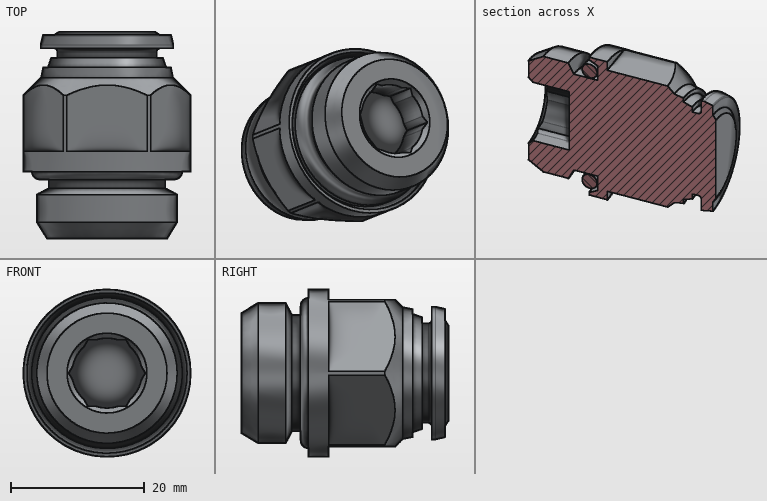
import cadquery as cq

TOTAL_LENGTH = 30.9
THREAD_CHAMFER_END = 2.47
THREAD_END = 6.58
RELIEF_START = 7.5
FLANGE_START = 9.98
FLANGE_END = 13.0
SHOULDER_END = 24.05
HOUSING_STEP = 25.55
INSERT_END = 26.98
COLLAR_START = 28.4
COLLAR_TAPER_START = 28.95
COLLAR_TAPER_END = 30.4

THREAD_TIP_RADIUS = 8.95
THREAD_RADIUS = 10.48
RELIEF_RADIUS = 8.7
FLANGE_RADIUS = 12.5
SHOULDER_RADIUS = 9.85
HOUSING_STEP_RADIUS = 9.55
INSERT_BASE_RADIUS = 8.85
INSERT_TIP_RADIUS = 8.35
COLLAR_NECK_RADIUS = 7.45
COLLAR_NECK_FILLET = 0.5
COLLAR_RADIUS = 9.92
COLLAR_TAPER_RADIUS = 9.58
COLLAR_DOME_RADIUS = 7.88
COLLAR_END_RADIUS = 7.1
COLLAR_EDGE_FILLET = 0.2

SHOULDER_START = SHOULDER_END - (FLANGE_RADIUS - SHOULDER_RADIUS)

HEXAGON_TURN = 30

WRENCH_FLATS = 21.95

SOCKET_FLATS = 9.9
SOCKET_BORE_RADIUS = 5.22
SOCKET_MOUTH_RADIUS = 5.95
SOCKET_CONE_DEPTH = 0.75
SOCKET_DEPTH = 6.65

SEAL_SECTION_RADIUS = 1.27
SEAL_CENTER_RADIUS = RELIEF_RADIUS + SEAL_SECTION_RADIUS
SEAL_CENTER = 10.07
RECESS_FLOOR = SEAL_CENTER + SEAL_SECTION_RADIUS
RECESS_MOUTH_RADIUS = 11.95
RECESS_FLOOR_RADIUS = SEAL_CENTER_RADIUS + SEAL_SECTION_RADIUS


def turn(profile):
    """Revolve a closed (radius, Y) outline about the Y axis."""
    return profile.close().revolve(360, (0, 0, 0), (0, 1, 0))


def hexagonal_bar(across_flats, start, end):
    """Hexagonal prism along Y with flats facing +Z and -Z."""
    return (
        cq.Workplane("XZ", origin=(0, start, 0))
        .polygon(6, across_flats, circumscribed=True)
        .extrude(start - end)
        .rotate((0, 0, 0), (0, 1, 0), HEXAGON_TURN)
    )


def make_turned_blank():
    """Thread, relief, recessed flange, wrench section, insert and collar."""
    neck_fillet_radius = COLLAR_NECK_RADIUS + COLLAR_NECK_FILLET
    outline = (
        cq.Workplane("XY")
        .lineTo(THREAD_TIP_RADIUS, 0)
        .lineTo(THREAD_RADIUS, THREAD_CHAMFER_END)
        .lineTo(THREAD_RADIUS, THREAD_END)
        .lineTo(RELIEF_RADIUS, RELIEF_START)
        .lineTo(RELIEF_RADIUS, RECESS_FLOOR)
        .lineTo(RECESS_FLOOR_RADIUS, RECESS_FLOOR)
        .lineTo(RECESS_MOUTH_RADIUS, FLANGE_START)
        .lineTo(FLANGE_RADIUS, FLANGE_START)
        .lineTo(FLANGE_RADIUS, SHOULDER_START)
        .lineTo(SHOULDER_RADIUS, SHOULDER_END)
        .lineTo(HOUSING_STEP_RADIUS, HOUSING_STEP)
        .lineTo(INSERT_BASE_RADIUS, HOUSING_STEP)
        .lineTo(INSERT_TIP_RADIUS, INSERT_END)
        .lineTo(COLLAR_NECK_RADIUS, INSERT_END)
        .lineTo(COLLAR_NECK_RADIUS, COLLAR_START - COLLAR_NECK_FILLET)
        .radiusArc((neck_fillet_radius, COLLAR_START), COLLAR_NECK_FILLET)
        .lineTo(COLLAR_RADIUS, COLLAR_START)
        .lineTo(COLLAR_RADIUS, COLLAR_TAPER_START)
        .lineTo(COLLAR_TAPER_RADIUS, COLLAR_TAPER_END)
        .lineTo(COLLAR_DOME_RADIUS, COLLAR_TAPER_END)
        .lineTo(COLLAR_END_RADIUS, TOTAL_LENGTH)
        .lineTo(0, TOTAL_LENGTH)
    )
    return turn(outline)


def make_wrench_flat_cutter():
    """Material to remove outside the hexagon, from flange to shoulder end."""
    length = SHOULDER_END - FLANGE_END
    sleeve = (
        cq.Workplane("XZ", origin=(0, FLANGE_END, 0))
        .circle(2 * FLANGE_RADIUS)
        .extrude(-length)
    )
    return sleeve.cut(hexagonal_bar(WRENCH_FLATS, FLANGE_END, SHOULDER_END))


def make_socket_cutter():
    """Countersunk round bore combined with the hexagon socket."""
    bore = turn(
        cq.Workplane("XY")
        .lineTo(SOCKET_MOUTH_RADIUS, 0)
        .lineTo(SOCKET_BORE_RADIUS, SOCKET_CONE_DEPTH)
        .lineTo(SOCKET_BORE_RADIUS, SOCKET_DEPTH)
        .lineTo(0, SOCKET_DEPTH)
    )
    return bore.union(hexagonal_bar(SOCKET_FLATS, 0, SOCKET_DEPTH))


def round_collar_edge(body):
    """Round the outer edge of the collar's end face."""
    reach = COLLAR_TAPER_RADIUS + COLLAR_EDGE_FILLET
    edge_finder = cq.selectors.BoxSelector(
        (-reach, COLLAR_TAPER_END - COLLAR_EDGE_FILLET, -reach),
        (reach, COLLAR_TAPER_END + COLLAR_EDGE_FILLET, reach),
        boundingbox=True,
    )
    outer_edge = body.edges("%CIRCLE").edges(edge_finder).edges(cq.selectors.RadiusNthSelector(-1))
    return outer_edge.fillet(COLLAR_EDGE_FILLET)


def make_housing():
    """Turned body with wrench flats and hexagon socket."""
    blank = round_collar_edge(make_turned_blank())
    return blank.cut(make_wrench_flat_cutter()).cut(make_socket_cutter())


def make_seal_ring():
    """O-ring seated in the flange recess."""
    return (
        cq.Workplane("XY")
        .center(SEAL_CENTER_RADIUS, SEAL_CENTER)
        .circle(SEAL_SECTION_RADIUS)
        .revolve(360, (-SEAL_CENTER_RADIUS, 0, 0), (-SEAL_CENTER_RADIUS, 1, 0))
    )


housing = make_housing()
seal_ring = make_seal_ring()
result = cq.Compound.makeCompound([housing.val(), seal_ring.val()])